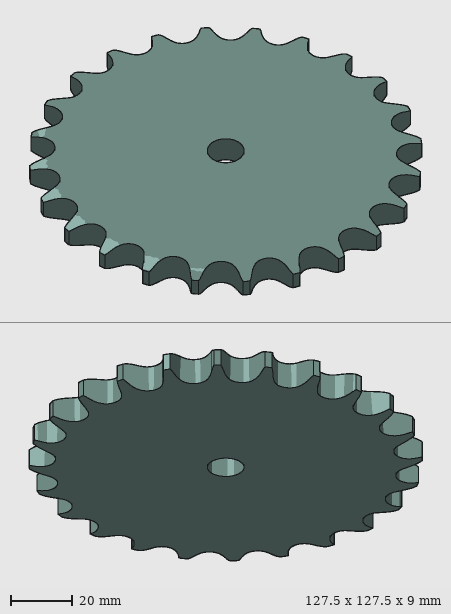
import cadquery as cq
import math

tooth_count = 24
overall_width = 127.5
thickness = 9.0
bore_diameter = 12.0
pitch_radius = 60.8
roller_diameter = 10.2

flat_face_radius = 57.1
side_round_radius = 15.9

seat_radius = 0.5 * roller_diameter
working_center_offset = 0.8 * roller_diameter
topping_center_offset = 1.4 * roller_diameter
working_radius = working_center_offset + seat_radius

half_pitch_angle = math.pi / tooth_count
seat_angle = math.radians(35 + 60 / tooth_count)
working_angle = math.radians(18 - 56 / tooth_count)
straight_angle = seat_angle - working_angle


def point_from(center, distance, angle):
    """Point at a distance from center, with the angle measured down from +X."""
    return (center[0] + distance * math.cos(angle), center[1] - distance * math.sin(angle))


def mirrored(point):
    """Matching point on the other flank of the gap."""
    return (-point[0], point[1])


roller_center = (0, pitch_radius)
working_center = point_from(roller_center, -working_center_offset, seat_angle)
topping_center = point_from(roller_center, topping_center_offset, half_pitch_angle)

gap_bottom = (0, pitch_radius - seat_radius)
seat_end = point_from(roller_center, seat_radius, seat_angle)
working_middle = point_from(working_center, working_radius, seat_angle - working_angle / 2)
working_end = point_from(working_center, working_radius, straight_angle)

topping_radius = (
    (topping_center[0] - working_end[0]) * math.cos(straight_angle)
    - (topping_center[1] - working_end[1]) * math.sin(straight_angle)
)
topping_start = point_from(topping_center, -topping_radius, straight_angle)

tip_y = overall_width / 2
tip_angle = math.asin((tip_y - topping_center[1]) / topping_radius)
tip_corner = point_from(topping_center, -topping_radius, tip_angle)
topping_middle = point_from(topping_center, -topping_radius, (straight_angle + tip_angle) / 2)
outer_radius = math.hypot(*tip_corner)

cutter_reach = 1.1
cutter_corner = (tip_corner[0] * cutter_reach, tip_corner[1] * cutter_reach)


def make_blank():
    """Disc with a bore and convex rounding on both sides of the rim."""
    half_thickness = thickness / 2
    round_center_z = half_thickness - side_round_radius
    round_angle = math.asin((outer_radius - flat_face_radius) / side_round_radius)

    def round_point(angle):
        """Point on the upper rounding, with the angle measured from the flat face."""
        return (
            flat_face_radius + side_round_radius * math.sin(angle),
            round_center_z + side_round_radius * math.cos(angle),
        )

    middle = round_point(round_angle / 2)
    rim = round_point(round_angle)
    return (
        cq.Workplane("XZ")
        .moveTo(bore_diameter / 2, -half_thickness)
        .lineTo(bore_diameter / 2, half_thickness)
        .lineTo(flat_face_radius, half_thickness)
        .threePointArc(middle, rim)
        .lineTo(rim[0], -rim[1])
        .threePointArc((middle[0], -middle[1]), (flat_face_radius, -half_thickness))
        .close()
        .revolve(360, (0, 0, 0), (0, 1, 0))
    )


def make_gap_cutter():
    """Prism of one tooth gap, centred on +Y."""
    return (
        cq.Workplane("XY")
        .moveTo(*cutter_corner)
        .lineTo(*tip_corner)
        .threePointArc(topping_middle, topping_start)
        .lineTo(*working_end)
        .threePointArc(working_middle, seat_end)
        .threePointArc(gap_bottom, mirrored(seat_end))
        .threePointArc(mirrored(working_middle), mirrored(working_end))
        .lineTo(*mirrored(topping_start))
        .threePointArc(mirrored(topping_middle), mirrored(tip_corner))
        .lineTo(*mirrored(cutter_corner))
        .close()
        .extrude(thickness, both=True)
    )


result = make_blank()
gap_cutter = make_gap_cutter()
for gap in range(tooth_count):
    gap_turn = gap * 360 / tooth_count
    result = result.cut(gap_cutter.rotate((0, 0, 0), (0, 0, 1), gap_turn))